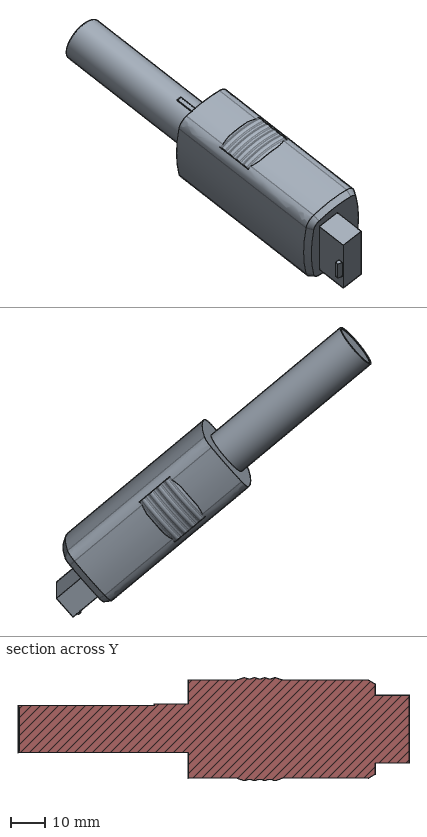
import math

import cadquery as cq

rod_diameter = 14.0
rod_length = 50.0
recess_diameter = 13.0
recess_depth = 0.25

key_length = 10.0
key_width = 1.5
key_height = 0.4

body_length = 55.0
body_width = 22.0
body_height = 29.0
side_bulge_radius = 56.0
top_bulge_radius = 35.0
corner_radius = 4.0
nose_chamfer_length = 2.0
nose_chamfer_depth = 1.2
body_end = rod_length + body_length

grip_center = 71.0
grip_length = 13.0
grip_width = 16.0
grip_sweep_radius = 24.5
grip_sweep_angle = 90.0
grip_top_z = 15.2
grip_end_z = 14.6
grip_root_z = 13.0
rib_count = 4
rib_pitch = 3.0
crest_radius = 1.25
crest_half_width = 0.65
root_half_width = 1.1
flank_angle = math.asin(crest_half_width / crest_radius)
root_radius = (root_half_width - crest_half_width) / math.sin(flank_angle)
grip_floor_z = grip_top_z - (crest_radius + root_radius) * (1 - math.cos(flank_angle))

plug_length = 10.0
plug_height = 20.0
plug_thickness = 7.5
plug_back_y = 1.0
plug_front_y = plug_back_y - plug_thickness

hook_offset = 8.2
hook_start = body_end + hook_offset
hook_base_length = 1.5
hook_tip_length = 0.9
hook_height = 1.4
hook_width = 6.5
hook_center_z = -1.6


def bulged_slab(bulge_radius, half_size, axis):
    """Lens between two cylinders whose crests lie half_size from the X axis."""
    offset = bulge_radius - half_size
    profile = cq.Workplane("YZ", origin=(rod_length, 0, 0))
    shift = (offset, 0) if axis == "Y" else (0, offset)
    cylinder = profile.center(*shift).circle(bulge_radius).extrude(body_length)
    return cylinder.intersect(cylinder.rotate((0, 0, 0), (1, 0, 0), 180))


def make_body():
    sides = bulged_slab(side_bulge_radius, body_width / 2, "Y")
    top_and_bottom = bulged_slab(top_bulge_radius, body_height / 2, "Z")
    body = sides.intersect(top_and_bottom).edges("|X").edges(">Z or <Z").fillet(corner_radius)
    return body.faces(">X").chamfer(nose_chamfer_depth, nose_chamfer_length)


def make_rod():
    rod = cq.Workplane("YZ").circle(rod_diameter / 2).extrude(rod_length)
    rod = rod.faces("<X").workplane().circle(recess_diameter / 2).cutBlind(-recess_depth)
    key_top = rod_diameter / 2 + key_height
    key = cq.Workplane("XY").box(key_length, key_width, key_top, centered=(False, True, False))
    return rod.union(key.translate((rod_length - key_length, 0, 0)))


def add_rib(profile, rib_x):
    """Continue the grip outline over one rib: concave root, crest, concave root."""
    flank_z = grip_top_z - crest_radius * (1 - math.cos(flank_angle))
    mid_offset = root_half_width - root_radius * math.sin(flank_angle / 2)
    mid_z = grip_floor_z + root_radius * (1 - math.cos(flank_angle / 2))
    return (
        profile.lineTo(rib_x - root_half_width, grip_floor_z)
        .threePointArc((rib_x - mid_offset, mid_z), (rib_x - crest_half_width, flank_z))
        .threePointArc((rib_x, grip_top_z), (rib_x + crest_half_width, flank_z))
        .threePointArc((rib_x + mid_offset, mid_z), (rib_x + root_half_width, grip_floor_z))
    )


def make_grip():
    """Ribbed outline swept around an axis along X, curved until it meets the body."""
    first = grip_center - grip_length / 2
    last = grip_center + grip_length / 2
    profile = cq.Workplane("XZ").moveTo(first, grip_root_z).lineTo(first, grip_end_z)
    for index in range(rib_count):
        rib_x = grip_center + (index - (rib_count - 1) / 2) * rib_pitch
        profile = add_rib(profile, rib_x)
    profile = profile.lineTo(last, grip_end_z).lineTo(last, grip_root_z).close()
    axis_z = grip_top_z - grip_sweep_radius
    grip = profile.revolve(grip_sweep_angle, (0, axis_z, 0), (1, axis_z, 0))
    grip = grip.rotate((0, 0, axis_z), (1, 0, axis_z), -grip_sweep_angle / 2)
    clip = cq.Workplane("XY").box(grip_length, grip_width, body_height, centered=(True, True, False))
    return grip.intersect(clip.translate((grip_center, 0, 0)))


def make_plug():
    plug = cq.Workplane("XY").box(
        plug_length, plug_thickness, plug_height, centered=(False, False, True)
    )
    return plug.translate((body_end, plug_front_y, 0))


def make_hook():
    tip_y = plug_front_y - hook_height
    return (
        cq.Workplane("XY", origin=(hook_start, 0, hook_center_z - hook_width / 2))
        .polyline([
            (0, plug_front_y),
            (0, tip_y),
            (hook_tip_length, tip_y),
            (hook_base_length, plug_front_y),
        ])
        .close()
        .extrude(hook_width)
    )


top_grip = make_grip()
bottom_grip = top_grip.mirror("XY")
result = make_rod().union(make_body()).union(top_grip).union(bottom_grip)
result = result.union(make_plug()).union(make_hook())